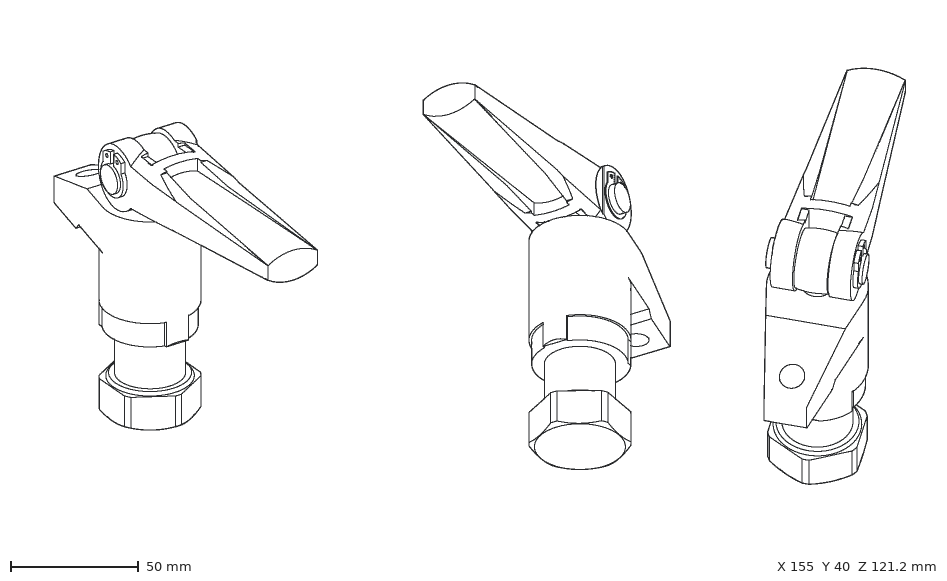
import cadquery as cq
import math


hex_across_flats = 36.0
hex_height = 14.9
hex_corner_radius = 20.0
hex_chamfer_height = 1.2
hex_chamfer_width = 2.2
collar_base_radius = 17.4
collar_top_radius = 16.3
collar_height = 1.4
shank_radius = 14.0
rod_radius = 6.0
eye_crown_radius = 12.7
eye_rim_radius = 12.0
eye_half_width = 6.7

housing_radius = 20.0
housing_bottom = 37.4
housing_top = 93.2
recess_floor_radius = 18.9
recess_top = 48.2
recess_arm_side_y = 16.6
recess_handle_side_y = 5.3
edge_bevel_width = 0.8
edge_bevel_height = 1.1
arm_reach = 54.9
arm_tip_half_width = 8.5
arm_slope_start = 20.3
arm_tip_top = 81.7
arm_underside = 72.8
arm_pad_underside = 69.9
arm_pad_end = 32.0
arm_pad_step_run = 2.8
arm_tip_fillet = 1.0
arm_hole_radius = 5.0
arm_hole_distance = 43.1

cam_radius = 14.0
cam_nose_radius = 12.2
lobe_outer = 16.1
lobe_inner = 7.1
pivot_height = housing_top + cam_radius
slot_end = 16.3
ledge_half_width = 10.2
ledge_height = 10.5
crown_height = 12.0
crown_radius = 40.3
crown_slope = 0.094
handle_end = 100.1
handle_end_half_width = 11.8
flank_bend = 25.3
far_flank_start = 8.8
far_flank_half_width = 15.7
rail_start = 23.7
rail_start_height = 9.9
rail_bend = 41.5
rail_bend_height = 6.7
rail_end_height = 3.3
groove_start = 21.7
groove_start_half_width = 7.9
groove_end_half_width = 11.6
grip_height = 6.7

pin_radius = 6.0
pin_half_length = 19.4
ring_radius = 7.9
ring_lug_radius = 11.3
ring_lug_half_width = 6.4
ring_gap_half_width = 1.16
ring_hole_radius = 0.8
ring_hole_x = 3.5
ring_hole_height = 8.7
near_ring_protrusion = 1.9
far_ring_protrusion = 0.5


def box(x_range, y_range, z_range):
    """Axis-aligned box given by its limits."""
    size = [high - low for low, high in (x_range, y_range, z_range)]
    corner = (x_range[0], y_range[0], z_range[0])
    return cq.Workplane("XY").box(*size, centered=False).translate(corner)


def prism_along_y(outline, y_min, y_max):
    """Extrude a closed XZ outline from y_min to y_max."""
    plane = cq.Workplane("XZ", origin=(0, y_max, 0))
    return plane.polyline(outline).close().extrude(y_max - y_min)


def cylinder_along_y(radius, y_min, y_max, x=0, z=0):
    plane = cq.Workplane("XZ", origin=(x, y_max, z))
    return plane.circle(radius).extrude(y_max - y_min)


def make_hex_foot():
    """Hexagon with corners turned to a cylinder and a chamfered underside."""
    hexagon_diameter = hex_across_flats / math.cos(math.pi / 6)
    hexagon = cq.Workplane("XY").polygon(6, hexagon_diameter).extrude(hex_height)
    turned = cq.Workplane("XY").circle(hex_corner_radius).extrude(hex_height)
    turned = turned.faces("<Z").chamfer(hex_chamfer_height, hex_chamfer_width)
    return hexagon.intersect(turned)


def make_eye():
    """Barrel about the pin axis, bulging in the middle of its width."""
    profile = (
        cq.Workplane("XY")
        .moveTo(0, -eye_half_width)
        .lineTo(eye_rim_radius, -eye_half_width)
        .threePointArc((eye_crown_radius, 0), (eye_rim_radius, eye_half_width))
        .lineTo(0, eye_half_width)
        .close()
    )
    return profile.revolve(360, (0, 0, 0), (0, 1, 0)).translate((0, 0, pivot_height))


def make_stud():
    collar_top = hex_height + collar_height
    turned_part = (
        cq.Workplane("XZ")
        .polyline([
            (0, hex_height),
            (collar_base_radius, hex_height),
            (collar_top_radius, collar_top),
            (shank_radius, collar_top),
            (shank_radius, housing_bottom),
            (rod_radius, housing_bottom),
            (rod_radius, pivot_height),
            (0, pivot_height),
        ])
        .close()
        .revolve(360, (0, 0, 0), (0, 1, 0))
    )
    pin_hole = cylinder_along_y(pin_radius, -lobe_inner, lobe_inner, z=pivot_height)
    return make_hex_foot().union(turned_part).union(make_eye()).cut(pin_hole)


def make_arm():
    """Arm tapering in plan, with flanks tangent to the housing cylinder."""
    corner_distance = math.hypot(arm_reach, arm_tip_half_width)
    corner_angle = math.atan2(arm_tip_half_width, arm_reach)
    tangent_angle = corner_angle + math.acos(housing_radius / corner_distance)
    tangent_x = -housing_radius * math.cos(tangent_angle)
    tangent_y = housing_radius * math.sin(tangent_angle)
    plan = (
        cq.Workplane("XY", origin=(0, 0, arm_pad_underside))
        .polyline([
            (-arm_reach, -arm_tip_half_width),
            (tangent_x, -tangent_y),
            (tangent_x, tangent_y),
            (-arm_reach, arm_tip_half_width),
        ])
        .close()
        .extrude(housing_top - arm_pad_underside)
    )
    side = prism_along_y(
        [
            (0, housing_top),
            (-arm_slope_start, housing_top),
            (-arm_reach, arm_tip_top),
            (-arm_reach, arm_pad_underside),
            (-arm_pad_end, arm_pad_underside),
            (-arm_pad_end + arm_pad_step_run, arm_underside),
            (0, arm_underside),
        ],
        -housing_radius,
        housing_radius,
    )
    arm = plan.intersect(side)
    return arm.faces("<X").edges("|Y").fillet(arm_tip_fillet)


def make_recess(side):
    """Shallow coaxial recess at the housing foot; side is -1 for -Y, +1 for +Y."""
    outer = housing_radius
    region = (
        cq.Workplane("XY", origin=(0, 0, housing_bottom))
        .polyline([
            (-outer, side * recess_arm_side_y),
            (0, side * recess_arm_side_y),
            (0, side * recess_handle_side_y),
            (outer, side * recess_handle_side_y),
            (outer, side * outer),
            (-outer, side * outer),
        ])
        .close()
        .extrude(recess_top - housing_bottom)
    )
    core = cq.Workplane("XY").circle(recess_floor_radius).extrude(housing_top)
    return region.cut(core)


def make_edge_bevel(side):
    """Wedge that bevels the lower housing edge; side is -1 for -X, +1 for +X."""
    return prism_along_y(
        [
            (side * (housing_radius - edge_bevel_width), housing_bottom),
            (side * housing_radius, housing_bottom + edge_bevel_height),
            (side * housing_radius, housing_bottom),
        ],
        -housing_radius,
        housing_radius,
    )


def make_housing():
    barrel_plane = cq.Workplane("XY", origin=(0, 0, housing_bottom))
    housing = barrel_plane.circle(housing_radius).extrude(housing_top - housing_bottom)
    housing = housing.union(make_arm())
    for side in (-1, 1):
        housing = housing.cut(make_recess(side)).cut(make_edge_bevel(side))
    rod_bore = cq.Workplane("XY").circle(rod_radius).extrude(housing_top)
    arm_hole = (
        cq.Workplane("XY").center(-arm_hole_distance, 0).circle(arm_hole_radius).extrude(housing_top)
    )
    return housing.cut(rod_bore).cut(arm_hole)


def make_cam_lobes():
    """Cam outline: half circle towards the handle, half ellipse at the nose."""
    ellipse = (
        cq.Workplane("XZ", origin=(0, lobe_outer, 0))
        .ellipse(cam_nose_radius, cam_radius)
        .extrude(2 * lobe_outer)
    )
    nose_side = box((-cam_radius, 0), (-lobe_outer, lobe_outer), (-cam_radius, cam_radius))
    handle_side = box((0, cam_radius), (-lobe_outer, lobe_outer), (-cam_radius, cam_radius))
    circle = cylinder_along_y(cam_radius, -lobe_outer, lobe_outer)
    return ellipse.intersect(nose_side).union(circle.intersect(handle_side))


def make_crown(side):
    """Cylinder whose sloping back crowns the neck; side +1 is the top, -1 the bottom."""
    axis_at_slot_end = side * (crown_height - crown_radius)
    start = cq.Vector(0, 0, axis_at_slot_end + side * crown_slope * slot_end)
    direction = cq.Vector(1, 0, -side * crown_slope)
    return cq.Workplane(cq.Solid.makeCylinder(crown_radius, handle_end, start, direction))


def make_neck_and_rails():
    plan = (
        cq.Workplane("XY", origin=(0, 0, -cam_radius))
        .polyline([
            (0, -lobe_outer),
            (flank_bend, -lobe_outer),
            (handle_end, -handle_end_half_width),
            (handle_end, handle_end_half_width),
            (far_flank_start, far_flank_half_width),
            (0, far_flank_half_width),
        ])
        .close()
        .extrude(2 * cam_radius)
    )
    upper_profile = [
        (0, cam_radius),
        (rail_start, cam_radius),
        (rail_start, rail_start_height),
        (rail_bend, rail_bend_height),
        (handle_end, rail_end_height),
    ]
    lower_profile = [(x, -z) for x, z in reversed(upper_profile)]
    profile = prism_along_y(upper_profile + lower_profile, -lobe_outer, lobe_outer)
    blank = plan.intersect(profile)

    rails = blank.intersect(
        box((rail_bend, handle_end), (-lobe_outer, lobe_outer), (-cam_radius, cam_radius))
    )
    neck = blank.cut(rails).intersect(make_crown(1)).intersect(make_crown(-1))
    return neck.union(rails)


def make_groove():
    """Widening channel that frees the rounded grip between the side rails."""
    return (
        cq.Workplane("XY", origin=(0, 0, -cam_radius))
        .polyline([
            (groove_start, -groove_start_half_width),
            (handle_end, -groove_end_half_width),
            (handle_end, groove_end_half_width),
            (groove_start, groove_start_half_width),
        ])
        .close()
        .extrude(2 * cam_radius)
    )


def make_grip():
    """Bar of lens-shaped section that fills the groove between the rails."""
    return (
        cq.Workplane("YZ", origin=(groove_start, 0, 0))
        .moveTo(-groove_end_half_width, -rail_end_height)
        .threePointArc((0, -grip_height), (groove_end_half_width, -rail_end_height))
        .lineTo(groove_end_half_width, rail_end_height)
        .threePointArc((0, grip_height), (-groove_end_half_width, rail_end_height))
        .close()
        .extrude(handle_end - groove_start)
    )


def make_retaining_ring(y_min, y_max):
    """Retaining ring with two drilled lugs pointing up."""
    lugs = cylinder_along_y(ring_lug_radius, y_min, y_max).intersect(
        box((-ring_lug_half_width, ring_lug_half_width), (y_min, y_max), (0, ring_lug_radius))
    )
    gap = box((-ring_gap_half_width, ring_gap_half_width), (y_min, y_max), (0, ring_lug_radius))
    ring = cylinder_along_y(ring_radius, y_min, y_max).union(lugs).cut(gap)
    for side in (-1, 1):
        hole = cylinder_along_y(ring_hole_radius, y_min, y_max, side * ring_hole_x, ring_hole_height)
        ring = ring.cut(hole)
    return ring


def make_lever():
    groove = make_groove()
    handle = make_neck_and_rails().cut(groove).union(make_grip().intersect(groove))
    lever = make_cam_lobes().union(handle)

    far_step = box(
        (far_flank_start, cam_radius), (far_flank_half_width, lobe_outer), (-cam_radius, cam_radius)
    )
    lever = lever.cut(far_step)

    ledge_start = math.sqrt(cam_radius**2 - ledge_height**2)
    ledge_width = (-ledge_half_width, ledge_half_width)
    for low, high in ((ledge_height, cam_radius), (-cam_radius, -ledge_height)):
        lever = lever.cut(box((ledge_start, slot_end), ledge_width, (low, high)))

    slot = box((-cam_radius, slot_end), (-lobe_inner, lobe_inner), (-cam_radius, cam_radius))
    pin = cylinder_along_y(pin_radius, -pin_half_length, pin_half_length)
    lever = lever.cut(slot).union(pin)
    lever = lever.union(make_retaining_ring(-lobe_outer - near_ring_protrusion, -lobe_outer))
    lever = lever.union(make_retaining_ring(lobe_outer, lobe_outer + far_ring_protrusion))
    return lever.translate((0, 0, pivot_height))


stud = make_stud()
housing = make_housing()
lever = make_lever()

bodies = [stud.solids().val(), housing.solids().val(), lever.solids().val()]
result = cq.Compound.makeCompound(bodies)